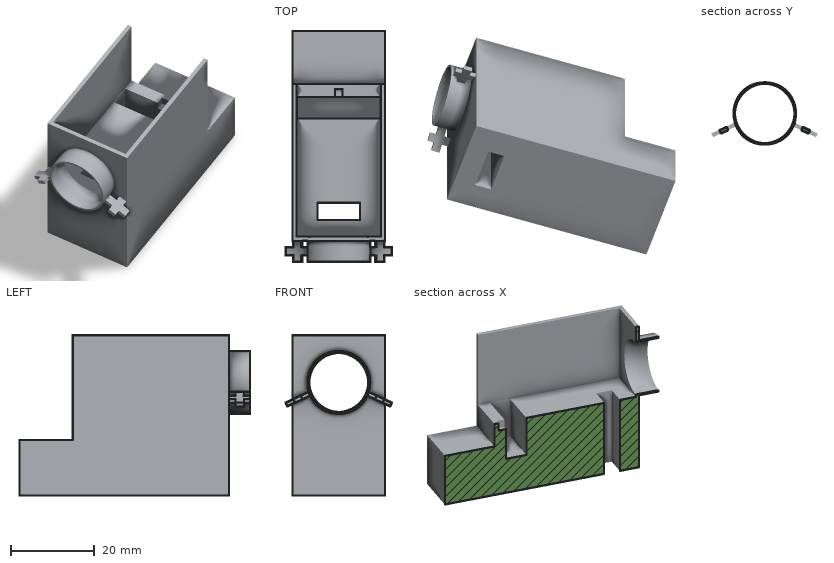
import cadquery as cq

housing_width = 22.1
housing_length = 50.0
housing_height = 38.2
wall = 1.0
step_length = 12.7
step_height = 13.25
floor_height = 19.3

pocket_width = 19.9
pocket_front = 29.1
pocket_length = 5.15
pocket_depth = 10.0
channel_width = 1.85
channel_length = 1.9
channel_depth = 2.0
window_width = 10.0
window_front = 5.0
window_length = 4.0

bore_diameter = 14.0
collar_diameter = 15.0
overall_length = 55
collar_length = overall_length - housing_length
bore_height = 26.95
bore_radius = bore_diameter / 2
collar_radius = collar_diameter / 2
tab_arm = 0.4 * collar_length
tab_thickness = 1.0
tab_droop = 25
seat_depth = 0.2


def box(width, y_start, length, z_start, height):
    """Box centred on x = 0, running up from z_start and back from y_start."""
    return (
        cq.Workplane("XY", origin=(0, y_start + length / 2, z_start))
        .box(width, length, height, centered=(True, True, False))
    )


def make_housing():
    upper_length = housing_length - step_length
    body = box(housing_width, 0, housing_length, 0, step_height)
    body = body.union(box(housing_width, 0, upper_length, 0, housing_height))

    inner_width = housing_width - 2 * wall
    compartment_height = housing_height - floor_height
    body = body.cut(box(inner_width, wall, upper_length - wall, floor_height, compartment_height))

    pocket_base = floor_height - pocket_depth
    channel_base = floor_height - channel_depth
    pocket_back = pocket_front + pocket_length
    body = body.cut(box(pocket_width, pocket_front, pocket_length, pocket_base, pocket_depth))
    body = body.cut(box(channel_width, pocket_back, channel_length, channel_base, channel_depth))

    body = body.cut(box(window_width, window_front, window_length, 0, floor_height))

    profile = cq.Workplane("XZ", origin=(0, 0, bore_height))
    body = body.union(profile.circle(collar_radius).extrude(collar_length))
    body = body.union(place_on_collar(make_cross()))
    bore = profile.workplane(offset=-wall).circle(bore_radius).extrude(collar_length + wall)
    body = body.cut(bore)

    return body.cut(place_on_collar(make_root_bar()).mirror("YZ"))


def tab_block(inner, outer, width):
    """Flat block of the tab thickness, centred along the collar length."""
    y_start = -(collar_length + width) / 2
    return (
        cq.Workplane("XY", origin=(inner, y_start, 0))
        .box(outer - inner, width, tab_thickness, centered=False)
    )


def make_root_bar():
    return tab_block(collar_radius - seat_depth, collar_radius, collar_length)


def make_cross():
    """Flat cross along +X, starting inside the collar wall."""
    bar_start = collar_radius + tab_arm
    bar_end = bar_start + tab_arm
    radial_arm = tab_block(collar_radius - seat_depth, bar_end + tab_arm, tab_arm)
    return radial_arm.union(tab_block(bar_start, bar_end, collar_length))


def place_on_collar(shape):
    """Droop a flat shape; its lower face stays on a plane through the collar axis."""
    return shape.rotate((0, 0, 0), (0, 1, 0), tab_droop).translate((0, 0, bore_height))


def make_separate_tab():
    return place_on_collar(make_cross().union(make_root_bar())).mirror("YZ")


housing = make_housing()
separate_tab = make_separate_tab()
result = cq.Compound.makeCompound([housing.val(), separate_tab.val()])